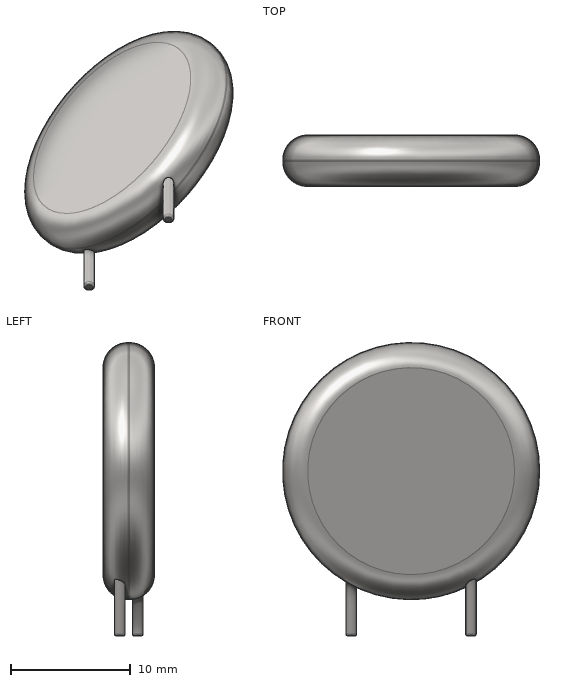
import cadquery as cq

disc_diameter = 21.5
disc_thickness = 4.3
rim_band_width = 0.1
rim_fillet = (disc_thickness - rim_band_width) / 2

lead_diameter = 0.9
lead_pitch = 10.0
lead_offset = 1.5
lead_tip_fillet = 0.18
overall_height = 24.53
lead_bottom = disc_diameter / 2 - overall_height
lead_embedding = 5.0
lead_top = lead_embedding - disc_diameter / 2


def make_disc():
    """Flat disc with both rim edges rounded."""
    return (
        cq.Workplane("XZ")
        .circle(disc_diameter / 2)
        .extrude(disc_thickness / 2, both=True)
        .edges("%CIRCLE")
        .fillet(rim_fillet)
    )


def make_lead(x, y):
    """Vertical lead with a rounded lower tip, ending inside the disc."""
    return (
        cq.Workplane("XY", origin=(x, y, lead_bottom))
        .circle(lead_diameter / 2)
        .extrude(lead_top - lead_bottom)
        .faces("<Z")
        .edges()
        .fillet(lead_tip_fillet)
    )


result = make_disc()
for side in (-1, 1):
    result = result.union(make_lead(side * lead_pitch / 2, -side * lead_offset / 2))